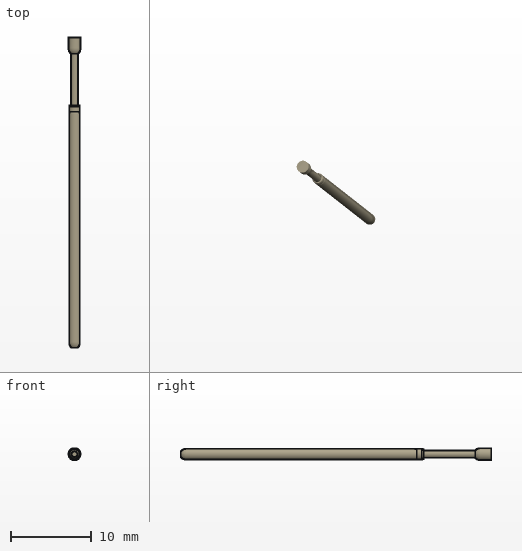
import cadquery as cq

total_length = 38.4
head_radius = 0.75
head_length = 1.4
head_back_length = 0.6
plunger_radius = 0.46
tube_radius = 0.68
tube_length = 30.03
mouth_radius = 0.61
mouth_length = 0.22
end_dome_length = 0.65
end_flat_radius = 0.35
groove_depth = 0.07
groove_width = 0.24
groove_setback = 0.82

mouth_y = tube_length
head_front_y = total_length
head_back_y = head_front_y - head_length
neck_y = head_back_y - head_back_length
groove_front_y = mouth_y - groove_setback

AXIS_START = (0, 0, 0)
AXIS_END = (0, 1, 0)
FULL_TURN = 360


def spin(profile):
    """Close a half profile and turn it about the probe axis."""
    return profile.close().revolve(FULL_TURN, AXIS_START, AXIS_END)


def make_tube():
    """Tube with a slightly tapered mouth and a rounded, flat-tipped closed end."""
    profile = (
        cq.Workplane("XY")
        .moveTo(0, mouth_y)
        .lineTo(mouth_radius, mouth_y)
        .lineTo(tube_radius, mouth_y - mouth_length)
        .lineTo(tube_radius, end_dome_length)
        .tangentArcPoint((end_flat_radius, 0), relative=False)
        .lineTo(0, 0)
    )
    return spin(profile)


def make_plunger():
    """Round shaft out of the tube mouth, ending in a head with a rounded back."""
    profile = (
        cq.Workplane("XY")
        .moveTo(0, head_front_y)
        .lineTo(head_radius, head_front_y)
        .lineTo(head_radius, head_back_y)
        .tangentArcPoint((plunger_radius, neck_y), relative=False)
        .lineTo(plunger_radius, mouth_y)
        .lineTo(0, mouth_y)
    )
    return spin(profile)


def make_groove():
    """Crimp ring with a tapered rear side, like the mouth, and a square front side."""
    profile = (
        cq.Workplane("XY")
        .moveTo(tube_radius, groove_front_y - groove_width)
        .lineTo(tube_radius - groove_depth, groove_front_y)
        .lineTo(tube_radius, groove_front_y)
    )
    return spin(profile)


result = make_tube().union(make_plunger()).cut(make_groove())